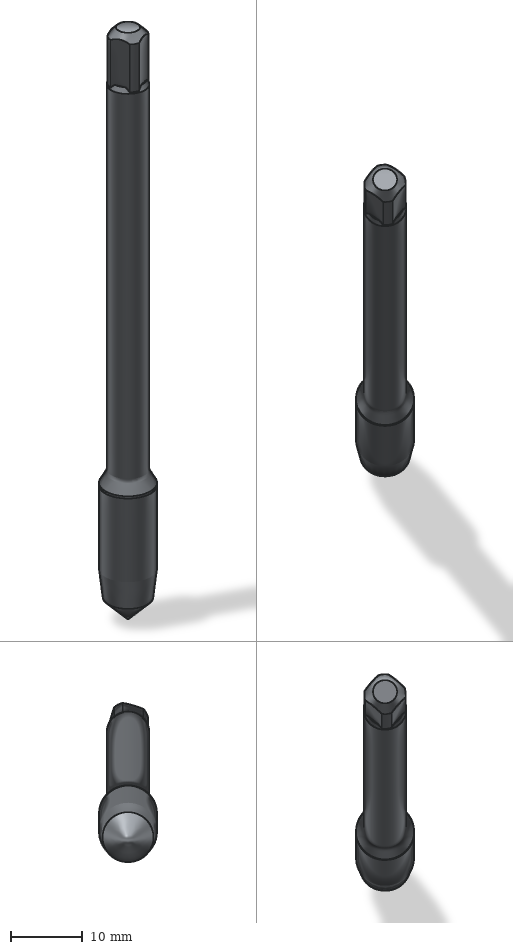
import cadquery as cq
import math

total_length = 93.25

head_diameter = 8.1
head_top = 21.2
lead_top = 8.0
point_diameter = 7.1
point_height = point_diameter / 2

shank_diameter = 6.0
rim_height = 0.4
shoulder_half_angle = 30.0
shoulder_blend_radius = 1.1
shoulder_bottom = head_top + rim_height
shoulder_height = (head_diameter - shank_diameter) / 2 / math.tan(math.radians(shoulder_half_angle))
shoulder_top = shoulder_bottom + shoulder_height
shank_top = 84.3

square_width = 4.9
corner_diameter = 5.8
seat_top_diameter = 5.2
seat_height = 0.8
end_face_diameter = 3.4
end_chamfer_height = (corner_diameter - end_face_diameter) / 2


def revolve_profile(points):
    """Turn a closed (radius, height) outline about the Z axis."""
    return cq.Workplane("XZ").polyline(points).close().revolve(360, (0, 0), (0, 1))


def make_cutting_head():
    """Pointed cylinder with a tapered lead."""
    return revolve_profile([
        (0, 0),
        (point_diameter / 2, point_height),
        (head_diameter / 2, lead_top),
        (head_diameter / 2, head_top),
        (0, head_top),
    ])


def make_shank_body():
    """Round shank rising from a rimmed conical shoulder and ending in a conical seat."""
    shank_radius = shank_diameter / 2
    body = revolve_profile([
        (0, head_top),
        (head_diameter / 2, head_top),
        (head_diameter / 2, shoulder_bottom),
        (shank_radius, shoulder_top),
        (shank_radius, shank_top),
        (seat_top_diameter / 2, shank_top + seat_height),
        (0, shank_top + seat_height),
    ])
    blend_zone = cq.selectors.BoxSelector(
        (-head_diameter, -head_diameter, shoulder_top - shoulder_height / 4),
        (head_diameter, head_diameter, shoulder_top + shoulder_height / 4),
    )
    return body.edges(blend_zone).edges("%CIRCLE").fillet(shoulder_blend_radius)


def make_square_drive():
    """Square prism with rounded corners and a bevelled end."""
    corner_radius = corner_diameter / 2
    turned = revolve_profile([
        (0, shank_top),
        (corner_radius, shank_top),
        (corner_radius, total_length - end_chamfer_height),
        (end_face_diameter / 2, total_length),
        (0, total_length),
    ])
    square = (
        cq.Workplane("XY", origin=(0, 0, shank_top))
        .rect(square_width, square_width)
        .extrude(total_length - shank_top)
    )
    return turned.intersect(square)


def make_shank():
    """Shank body and square drive as one solid."""
    return make_shank_body().union(make_square_drive())


cutting_head = make_cutting_head()
shank = make_shank()

result = cq.Compound.makeCompound([cutting_head.val(), shank.val()])